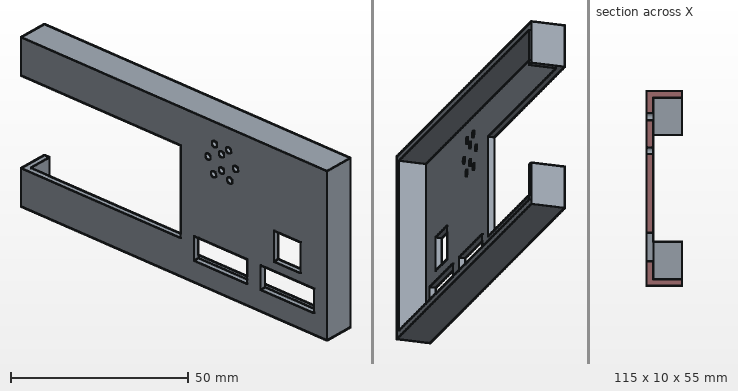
import cadquery as cq

LENGTH = 115.0
DEPTH = 10.0
HEIGHT = 55.0
WALL = 2.0

SLOT_LENGTH = 60.0
SLOT_HEIGHT = 30.0

DISPLAY_SIZE = (20.0, 7.9)
DISPLAY_BOTTOM = 7.0
DISPLAY_LEFT_EDGES = (65.0, 90.0)
BUTTON_SIZE = (10.0, 10.0)
BUTTON_CORNER = (95.0, 18.0)

SPEAKER_CENTER = (75.3, 42.8)
SPEAKER_HOLE_DIAMETER = 2.0
SPEAKER_HOLE_OFFSETS = [
    (-2.6, 5.0),
    (2.6, 5.0),
    (0.0, 2.6),
    (-5.1, 0.0),
    (5.3, -0.1),
    (0.0, -2.6),
    (3.1, -4.7),
    (-3.0, -5.0),
]


def block(corner, size, front=0.0, depth=DEPTH):
    """Box with its lower left corner at (x, z), running back from y = front."""
    solid = cq.Workplane("XY").box(size[0], depth, size[1], centered=False)
    return solid.translate((corner[0], front, corner[1]))


def make_shell():
    """Shallow tray with equal front plate and rim thickness."""
    outside = block((0, 0), (LENGTH, HEIGHT))
    inside_size = (LENGTH - 2 * WALL, HEIGHT - 2 * WALL)
    inside = block((WALL, WALL), inside_size, front=WALL, depth=DEPTH - WALL)
    return outside.cut(inside)


def make_slot():
    return block((0, (HEIGHT - SLOT_HEIGHT) / 2), (SLOT_LENGTH, SLOT_HEIGHT))


def make_windows():
    """Two display windows in a row and a square button window, through the front plate."""
    windows = block(BUTTON_CORNER, BUTTON_SIZE, depth=WALL)
    for left_edge in DISPLAY_LEFT_EDGES:
        windows = windows.union(block((left_edge, DISPLAY_BOTTOM), DISPLAY_SIZE, depth=WALL))
    return windows


def make_speaker_holes():
    center_x, center_z = SPEAKER_CENTER
    return (
        cq.Workplane("XZ")
        .pushPoints([(center_x + dx, center_z + dz) for dx, dz in SPEAKER_HOLE_OFFSETS])
        .circle(SPEAKER_HOLE_DIAMETER / 2)
        .extrude(-WALL)
    )


result = make_shell().cut(make_slot()).cut(make_windows()).cut(make_speaker_holes())